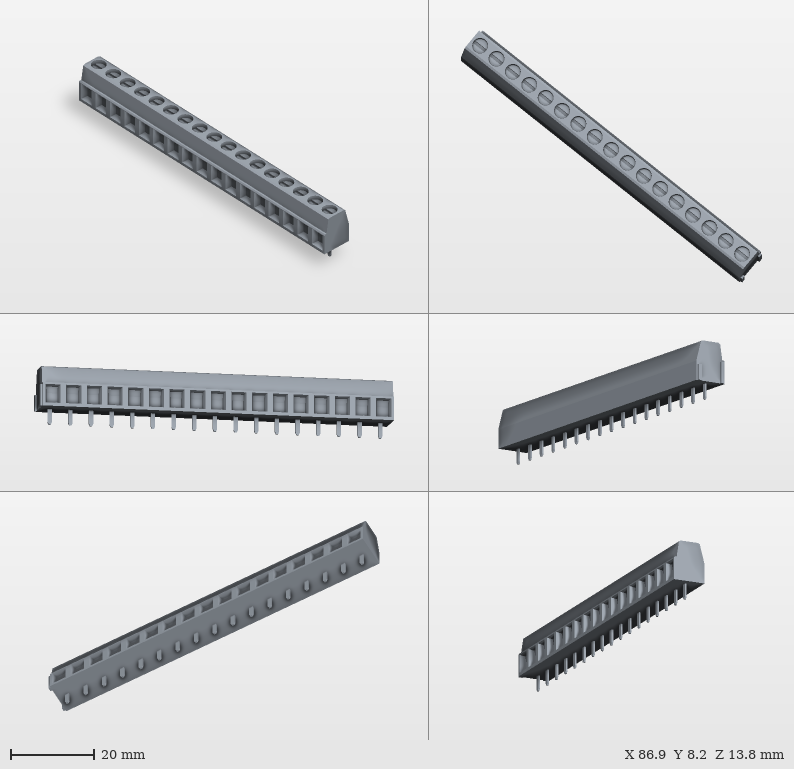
import cadquery as cq


module_poles = (3, 2, 2, 3, 2, 2, 3)
total_length = 86.9
tab_reach = 0.5
pole_count = sum(module_poles)
housing_length = total_length - tab_reach
pole_pitch = housing_length / pole_count

housing_height = 10.0
half_depth = 4.1
top_half_width = 2.3
top_bevel_width = 0.5
top_bevel_height = 0.3
rear_slope_start = 4.8
ledge_height = 5.8
ledge_inner_y = -3.4
lip_bevel_width = 0.3
lip_bevel_height = 0.35

tab_inner_y = 2.8
tab_outer_y = 3.7
front_tab_height = 5.3
rear_tab_height = 3.9

opening_width = 3.7
opening_bottom = 0.8
opening_top = 5.3
opening_depth = 1.6
side_taper = 0.5
floor_rise = 0.4
ceiling_drop = 0.4
clamp_edge_height = 3.4
clamp_lean = 0.3

screw_diameter = 3.8
screw_recess = 0.9
screw_bevel = 0.3
slot_width = 0.8
slot_depth = 0.5

pin_width = 1.0
pin_thickness = 0.4
pin_length = 3.8
pin_tip_length = 0.6
pin_tip_width = 0.5


def pole_x(index):
    """X of the middle of a pole."""
    return (index + 0.5) * pole_pitch


def housing_module(first_pole, poles):
    """One housing module, extruded along X."""
    top_edge_z = housing_height - top_bevel_height
    bevel_edge_y = top_half_width + top_bevel_width
    outline = [
        (half_depth, 0),
        (half_depth, rear_slope_start),
        (bevel_edge_y, top_edge_z),
        (top_half_width, housing_height),
        (-top_half_width, housing_height),
        (-bevel_edge_y, top_edge_z),
        (ledge_inner_y, ledge_height),
        (lip_bevel_width - half_depth, ledge_height),
        (-half_depth, ledge_height - lip_bevel_height),
        (-half_depth, 0),
    ]
    profile = cq.Workplane("YZ", origin=(first_pole * pole_pitch, 0, 0)).polyline(outline).close()
    return profile.extrude(poles * pole_pitch)


def end_tab(y_start, height):
    """An upright tab on the -X end of the housing."""
    tab_width = tab_outer_y - tab_inner_y
    tab = cq.Workplane("XY", origin=(-tab_reach, y_start, 0))
    return tab.box(tab_reach, tab_width, height, centered=False)


def wire_opening(x):
    """The tapered space of a wire opening, with its back wall leaning forward at the top."""
    front_height = opening_top - opening_bottom
    back_bottom = opening_bottom + floor_rise
    back_top = opening_top - ceiling_drop
    back_height = back_top - back_bottom
    front_middle = opening_bottom + front_height / 2
    back_middle = back_bottom + back_height / 2
    funnel = (
        cq.Workplane("XZ", origin=(x, -half_depth, front_middle))
        .rect(opening_width, front_height)
        .workplane(offset=-opening_depth)
        .center(0, back_middle - front_middle)
        .rect(opening_width - 2 * side_taper, back_height)
        .loft(ruled=True)
    )
    back_y = opening_depth - half_depth
    leaning_wall = (
        cq.Workplane("YZ", origin=(x, 0, 0))
        .polyline([
            (back_y, clamp_edge_height),
            (back_y - clamp_lean, opening_top),
            (back_y, opening_top),
        ])
        .close()
        .extrude(opening_width / 2, both=True)
    )
    return funnel.cut(leaning_wall)


def screw_space(x):
    """The space above a sunken screw head, with the bevel round the head and its slot."""
    head_z = housing_height - screw_recess
    radius = screw_diameter / 2
    bore = (
        cq.Workplane("XZ", origin=(x, 0, 0))
        .polyline([
            (0, head_z),
            (radius - screw_bevel, head_z),
            (radius, head_z - screw_bevel),
            (radius, housing_height),
            (0, housing_height),
        ])
        .close()
        .revolve(360, (0, 0, 0), (0, 1, 0))
    )
    slot_floor = cq.Workplane("XY", origin=(x, 0, head_z - slot_depth))
    slot = slot_floor.rect(screw_diameter, slot_width).extrude(slot_depth)
    round_limit = slot_floor.circle(radius).extrude(slot_depth)
    return bore.union(slot.intersect(round_limit))


def pin(x):
    """A flat solder pin with a tip narrowed in X."""
    half_width = pin_width / 2
    half_tip = pin_tip_width / 2
    shoulder_z = pin_tip_length - pin_length
    outline = [
        (-half_width, 0),
        (-half_width, shoulder_z),
        (-half_tip, -pin_length),
        (half_tip, -pin_length),
        (half_width, shoulder_z),
        (half_width, 0),
    ]
    return cq.Workplane("XZ", origin=(x, 0, 0)).polyline(outline).close().extrude(pin_thickness / 2, both=True)


first_module = module_poles[0]
body = housing_module(0, first_module)
first_pole = first_module
for poles in module_poles[1:]:
    body = body.union(housing_module(first_pole, poles), clean=False)
    first_pole += poles

body = body.union(end_tab(-tab_outer_y, front_tab_height), clean=False)
body = body.union(end_tab(tab_inner_y, rear_tab_height), clean=False)

for index in range(pole_count):
    x = pole_x(index)
    body = body.cut(wire_opening(x), clean=False)
    body = body.cut(screw_space(x), clean=False)
    body = body.union(pin(x), clean=False)

result = body